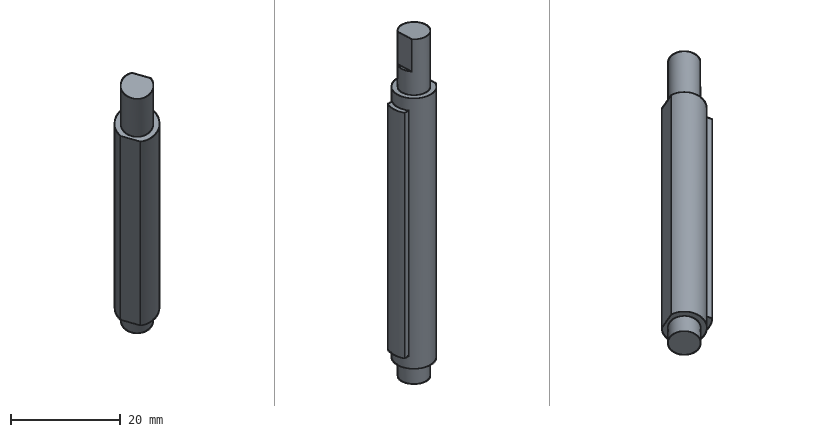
import cadquery as cq

total_length = 74.0
lower_journal_length = 4.0
upper_journal_length = 12.0
body_length = total_length - lower_journal_length - upper_journal_length

journal_diameter = 6.0
body_diameter = 8.2
body_flat_offset = 3.6

key_crown_radius = 5.1
key_width = 4.4
key_end_inset = 2.7

journal_flat_offset = 2.4
journal_flat_length = 6.95


def make_journals():
    """Return the thin shaft that runs the full length."""
    return cq.Workplane("XY").circle(journal_diameter / 2).extrude(total_length)


def make_body():
    """Return the thick middle section with its flat on the -Y side."""
    cylinder = (
        cq.Workplane("XY", origin=(0, 0, lower_journal_length))
        .circle(body_diameter / 2)
        .extrude(body_length)
    )
    flat_cutter = (
        cq.Workplane("XY", origin=(0, -body_flat_offset, lower_journal_length))
        .box(body_diameter, body_diameter, body_length, centered=(True, False, False))
        .translate((0, -body_diameter, 0))
    )
    return cylinder.cut(flat_cutter)


def make_key():
    """Return the key, rooted at the shaft axis and rounded on its outer face."""
    key_length = body_length - 2 * key_end_inset
    key_start = cq.Workplane("XY", origin=(0, 0, lower_journal_length + key_end_inset))
    bar = key_start.box(key_width, key_crown_radius, key_length, centered=(True, False, False))
    crown = key_start.circle(key_crown_radius).extrude(key_length)
    return bar.intersect(crown)


def make_journal_flat_cutter():
    """Return the block that removes the flat near the top end."""
    return cq.Workplane(
        "XY", origin=(0, journal_flat_offset, total_length - journal_flat_length)
    ).box(journal_diameter, journal_diameter, journal_flat_length, centered=(True, False, False))


result = make_journals().union(make_body()).union(make_key()).cut(make_journal_flat_cutter())